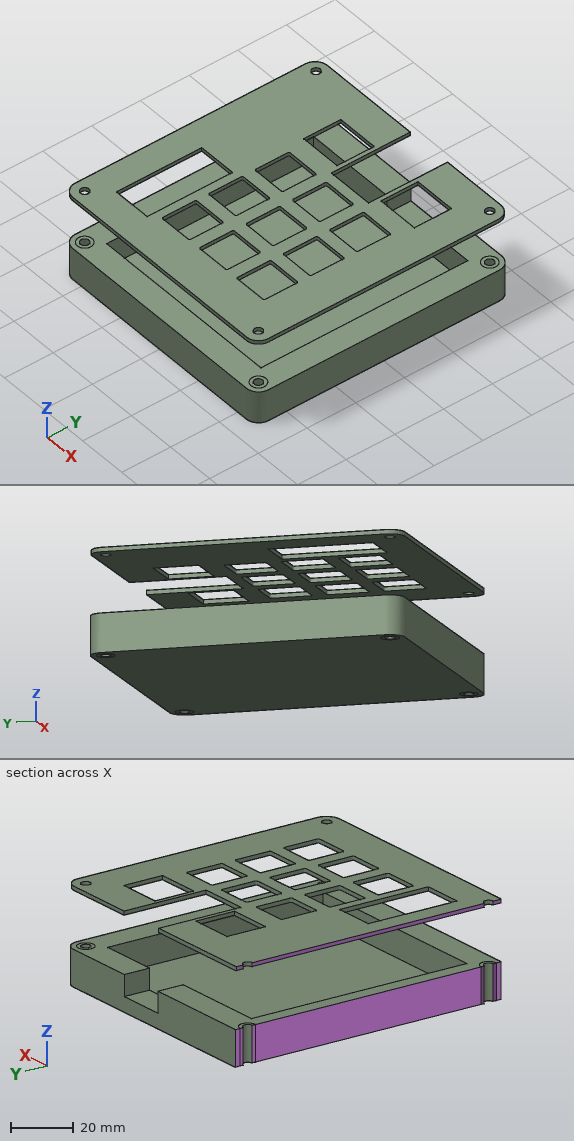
import cadquery as cq

HOUSING_X = 98.8
HOUSING_Y = 104.8
HOUSING_Z = 13.0
TOTAL_Z = 34.5
CORNER_RADIUS = 5.0
WALL = 10.0
FLOOR_THICKNESS = 3.0

HOLE_X = 44.4
HOLE_Y = 47.5
INSERT_DIAMETER = 6.0
SCREW_DIAMETER = 3.4

PLATE_THICKNESS = 1.5
PLATE_REAR_GAP = 0.3
PLATE_BOTTOM = TOTAL_Z - PLATE_THICKNESS

KEY_SIZE = 14.0
KEY_PITCH = 19.1
KEY_COUNT = 3
KEY_CENTER_X = 7.5
KEY_CENTER_Y = -10.5
KEY_CORNER_RADIUS = 0.5

KNOB_X = 17.1
KNOB_Y = 15.2
KNOB_SPACING = 39.5
KNOB_CENTER_Y = 31.0

DISPLAY_X = 15.7
DISPLAY_Y = 35.0
DISPLAY_CENTER_X = -29.9
DISPLAY_CENTER_Y = -22.3

SLOT_X = 19.1
SLOT_FRONT = 19.7

NOTCH_LEFT = KEY_CENTER_X - SLOT_X / 2
NOTCH_RIGHT = 16.5
NOTCH_DEPTH = 7.5

SCREW_POINTS = [(x, y) for x in (-HOLE_X, HOLE_X) for y in (-HOLE_Y, HOLE_Y)]


def block(x_size, y_size, height, center_x=0.0, center_y=0.0, bottom=0.0):
    """Upright block given by its plan size, plan centre and bottom level."""
    return (
        cq.Workplane("XY")
        .box(x_size, y_size, height, centered=(True, True, False))
        .translate((center_x, center_y, bottom))
    )


def screw_cylinders(diameter, height, bottom=0.0):
    """One upright cylinder at each corner screw."""
    return (
        cq.Workplane("XY", origin=(0, 0, bottom))
        .pushPoints(SCREW_POINTS)
        .circle(diameter / 2)
        .extrude(height)
    )


def make_housing():
    body = block(HOUSING_X, HOUSING_Y, HOUSING_Z).edges("|Z").fillet(CORNER_RADIUS)
    pocket = block(HOUSING_X - 2 * WALL, HOUSING_Y - 2 * WALL, HOUSING_Z, bottom=FLOOR_THICKNESS)
    notch = block(
        NOTCH_RIGHT - NOTCH_LEFT,
        WALL,
        NOTCH_DEPTH,
        center_x=(NOTCH_LEFT + NOTCH_RIGHT) / 2,
        center_y=(HOUSING_Y - WALL) / 2,
        bottom=HOUSING_Z - NOTCH_DEPTH,
    )
    return body.cut(pocket).cut(notch).cut(screw_cylinders(INSERT_DIAMETER, HOUSING_Z))


def make_insert(x, y):
    """Sleeve that fills its corner hole over the full height of the housing."""
    return (
        cq.Workplane("XY")
        .center(x, y)
        .circle(INSERT_DIAMETER / 2)
        .circle(SCREW_DIAMETER / 2)
        .extrude(HOUSING_Z)
    )


def plate_block(x_size, y_size, center_x, center_y):
    """Block as thick as the plate and level with it."""
    return block(x_size, y_size, PLATE_THICKNESS, center_x, center_y, PLATE_BOTTOM)


def make_plate():
    plate_y = HOUSING_Y - PLATE_REAR_GAP
    plate = plate_block(HOUSING_X, plate_y, 0, -PLATE_REAR_GAP / 2)
    plate = plate.edges("|Z").fillet(CORNER_RADIUS)
    plate = plate.cut(screw_cylinders(SCREW_DIAMETER, PLATE_THICKNESS, PLATE_BOTTOM))

    for column in range(KEY_COUNT):
        for row in range(KEY_COUNT):
            x = KEY_CENTER_X + (column - (KEY_COUNT - 1) / 2) * KEY_PITCH
            y = KEY_CENTER_Y + (row - (KEY_COUNT - 1) / 2) * KEY_PITCH
            key = plate_block(KEY_SIZE, KEY_SIZE, x, y)
            plate = plate.cut(key.edges("|Z").fillet(KEY_CORNER_RADIUS))

    for side in (-1, 1):
        x = KEY_CENTER_X + side * KNOB_SPACING / 2
        plate = plate.cut(plate_block(KNOB_X, KNOB_Y, x, KNOB_CENTER_Y))

    plate = plate.cut(plate_block(DISPLAY_X, DISPLAY_Y, DISPLAY_CENTER_X, DISPLAY_CENTER_Y))

    slot_y = HOUSING_Y / 2 - SLOT_FRONT
    slot = plate_block(SLOT_X, slot_y, KEY_CENTER_X, SLOT_FRONT + slot_y / 2)
    return plate.cut(slot)


housing = make_housing()
inserts = [make_insert(x, y) for x, y in SCREW_POINTS]
plate = make_plate()

result = cq.Compound.makeCompound(
    [housing.val(), plate.val(), *[insert.val() for insert in inserts]]
)